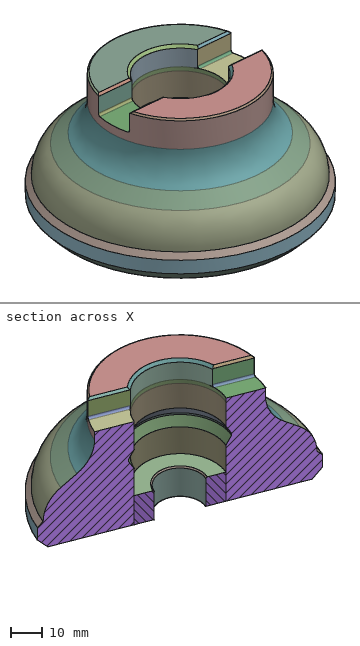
import cadquery as cq
import math

height = 50.0
outer_radius = 50.0
base_radius = 46.3
base_chamfer_height = 3.9
rim_top = 9.0
shoulder_radius = 96.1 / 2
shoulder_z = rim_top + outer_radius - shoulder_radius

neck_radius = 30.0
flank_top = 38.7
flank_arc_radius = 14.5
flank_angle = 55.0
neck_chamfer = 0.6

slot_width = 14.6
slot_depth = 8.0
slot_chamfer = 0.8
slot_fillet = 0.8

bore_radius = 32.0 / 2
mouth_radius = 32.2 / 2
mouth_chamfer = 1.0
relief_top = height - slot_depth
relief_taper = 1.5
groove_depth = 2.0
groove_radius = bore_radius + groove_depth
groove_top = 30.5
groove_wall = 0.7
groove_flank_angle = 30.0
groove_flare = groove_depth / math.tan(math.radians(groove_flank_angle))

washer_top = 12.0
washer_hole_radius = 18.0 / 2
washer_hole_chamfer = 0.5


def ring(points):
    """Solid of revolution about Z from closed (radius, z) corners."""
    return cq.Workplane("XZ").polyline(points).close().revolve(360, (0, 0, 0), (0, 1, 0))


def make_outer_form():
    """Turned outside of the housing, without its bore."""
    angle = math.radians(flank_angle)
    half = angle / 2
    arc_dr = flank_arc_radius * (1 - math.cos(angle))
    arc_dz = flank_arc_radius * math.sin(angle)
    mid_dr = flank_arc_radius * (1 - math.cos(half))
    mid_dz = flank_arc_radius * math.sin(half)
    profile = (
        cq.Workplane("XZ")
        .moveTo(0, 0)
        .lineTo(base_radius, 0)
        .lineTo(outer_radius, base_chamfer_height)
        .lineTo(outer_radius, rim_top)
        .lineTo(shoulder_radius, shoulder_z)
        .threePointArc(
            (shoulder_radius - mid_dr, shoulder_z + mid_dz),
            (shoulder_radius - arc_dr, shoulder_z + arc_dz),
        )
        .lineTo(neck_radius + arc_dr, flank_top - arc_dz)
        .threePointArc((neck_radius + mid_dr, flank_top - mid_dz), (neck_radius, flank_top))
        .lineTo(neck_radius, height - neck_chamfer)
        .lineTo(neck_radius - neck_chamfer, height)
        .lineTo(0, height)
        .close()
    )
    return profile.revolve(360, (0, 0, 0), (0, 1, 0))


def make_bore():
    """Bore with a chamfered mouth, a slightly wider top and a shallow internal groove."""
    groove_wall_top = groove_top - groove_flare
    groove_wall_bottom = groove_wall_top - groove_wall
    return ring([
        (0, 0),
        (bore_radius, 0),
        (bore_radius, groove_wall_bottom - groove_flare),
        (groove_radius, groove_wall_bottom),
        (groove_radius, groove_wall_top),
        (bore_radius, groove_top),
        (bore_radius, relief_top - relief_taper),
        (mouth_radius, relief_top),
        (mouth_radius, height - mouth_chamfer),
        (mouth_radius + mouth_chamfer, height),
        (0, height),
    ])


def make_slot():
    """Drive slot along Y with bevelled top edges and rounded floor corners."""
    half_width = slot_width / 2
    floor = height - slot_depth
    slot = (
        cq.Workplane("XZ")
        .moveTo(-half_width, floor)
        .lineTo(half_width, floor)
        .lineTo(half_width, height - slot_chamfer)
        .lineTo(half_width + slot_chamfer, height)
        .lineTo(-half_width - slot_chamfer, height)
        .lineTo(-half_width, height - slot_chamfer)
        .close()
        .extrude(outer_radius, both=True)
    )
    return slot.edges("|Y and <Z").fillet(slot_fillet)


def make_housing():
    """Turned body with its bore and drive slot cut out."""
    return make_outer_form().cut(make_bore()).cut(make_slot())


def make_washer():
    """Plain disc filling the lower end of the bore."""
    return ring([
        (washer_hole_radius, 0),
        (bore_radius, 0),
        (bore_radius, washer_top),
        (washer_hole_radius + washer_hole_chamfer, washer_top),
        (washer_hole_radius, washer_top - washer_hole_chamfer),
    ])


housing = make_housing()
washer = make_washer()

result = cq.Compound.makeCompound([housing.val(), washer.val()])